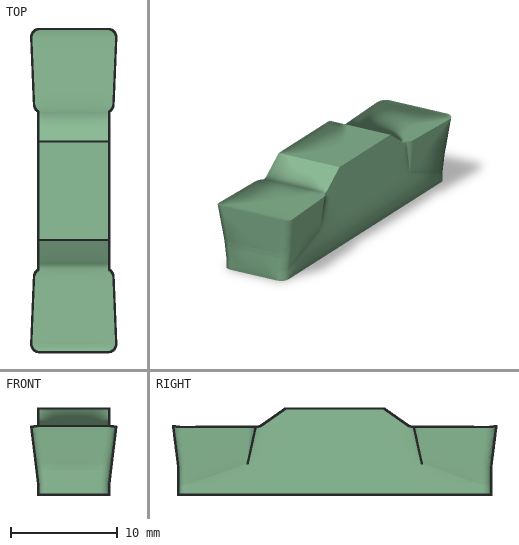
import cadquery as cq
import math


body_half_width = 3.33
total_length = 30.25
total_height = 8.08
base_half_length = 14.65
crest_half_length = 4.6
ramp_angle = 35.0
corner_radius = 0.82
body_end_height = 3.63

bend_bottom = 2.35
bend_top = 2.8

land_height = 6.38
land_inner = 7.23
flat_outer = 8.65
lip_inner = 14.37
crown_drop = 0.03
crown_bulge = 0.01
lip_height = 6.45
lip_sag = 0.018

flare_start = 0.9
flare_angle = 6.7
taper_angle = 2.4

shoulder_y = 8.15
shoulder_radius = 0.9
point_radius = 0.015

half_length = total_length / 2
flare = math.tan(math.radians(flare_angle))
taper = math.tan(math.radians(taper_angle))


def mid_point(start, end, rise):
    """Point halfway between two profile points, lifted by rise."""
    return ((start[0] + end[0]) / 2, (start[1] + end[1]) / 2 + rise)


def flank_half_width(y, z):
    flank_start_y = base_half_length - corner_radius
    return body_half_width + flare * (z - flare_start) + taper * (y - flank_start_y)


def round_end_corners(solid):
    """Round the upright corners at the outer end."""
    zone = cq.selectors.BoxSelector(
        (-total_height, base_half_length - 0.03, 0.03),
        (total_height, half_length + 0.03, land_height - 0.03),
    )
    return solid.edges(zone).edges("not |X").fillet(corner_radius)


def make_body_half():
    """Half of the body, with a stepped-down end inside the head."""
    angle = math.radians(ramp_angle)
    ramp_foot = crest_half_length + (total_height - land_height) / math.tan(angle)
    tangent = land_inner - ramp_foot
    blend_end = (ramp_foot - tangent * math.cos(angle), land_height + tangent * math.sin(angle))
    body = (
        cq.Workplane("YZ")
        .lineTo(base_half_length, 0)
        .lineTo(base_half_length, body_end_height)
        .lineTo(flat_outer, body_end_height)
        .lineTo(flat_outer, land_height)
        .lineTo(land_inner, land_height)
        .tangentArcPoint(blend_end, relative=False)
        .lineTo(crest_half_length, total_height)
        .lineTo(0, total_height)
        .close()
        .extrude(body_half_width, both=True)
    )
    return round_end_corners(body)


def make_head_profile():
    """Side profile of the head, extruded wider than the flanks."""
    bend_middle = (bend_bottom + bend_top) / 2
    lean = (half_length - base_half_length) / (lip_height - bend_middle)
    bend_end = (base_half_length + lean * (bend_top - bend_middle), bend_top)
    tip = (half_length, lip_height)
    lip_start = (lip_inner, land_height - crown_drop)
    crown_start = (flat_outer, land_height)
    return (
        cq.Workplane("YZ")
        .moveTo(land_inner, 0)
        .lineTo(base_half_length, 0)
        .lineTo(base_half_length, bend_bottom)
        .tangentArcPoint(bend_end, relative=False)
        .lineTo(*tip)
        .threePointArc(mid_point(lip_start, tip, -lip_sag), lip_start)
        .threePointArc(mid_point(crown_start, lip_start, crown_bulge), crown_start)
        .lineTo(land_inner, land_height)
        .close()
        .extrude(total_height, both=True)
    )


def make_flanks():
    """Wedge between the two flared and tapered flanks."""
    def outline(plane, z):
        back = flank_half_width(shoulder_y, z)
        front = flank_half_width(half_length, z)
        return plane.polyline([
            (-back, shoulder_y), (back, shoulder_y), (front, half_length), (-front, half_length),
        ]).close()

    lower = outline(cq.Workplane("XY"), 0)
    return outline(lower.workplane(offset=total_height), total_height).loft(ruled=True)


def make_shoulder():
    """Back of the head, with corners whose radius grows in step with the flank overhang."""
    point_height = flare_start + (base_half_length - corner_radius - shoulder_y) * taper / flare
    radius_growth = shoulder_radius / (land_height - point_height)
    low = point_height + point_radius / radius_growth

    def outline(plane, z):
        radius = radius_growth * (z - point_height)
        side = flank_half_width(shoulder_y, z)
        centre = side - radius
        diagonal = radius * math.sqrt(0.5)
        back = shoulder_y - radius
        return (
            plane.moveTo(side, shoulder_y)
            .threePointArc((centre + diagonal, shoulder_y - diagonal), (centre, back))
            .lineTo(-centre, back)
            .threePointArc((-centre - diagonal, shoulder_y - diagonal), (-side, shoulder_y))
            .close()
        )

    lower = outline(cq.Workplane("XY").workplane(offset=low), low)
    return outline(lower.workplane(offset=total_height - low), total_height).loft(ruled=True)


def make_head():
    profile = make_head_profile()
    flanks = round_end_corners(make_flanks().intersect(profile))
    return flanks.union(make_shoulder().intersect(profile))


half = make_body_half().union(make_head())
result = half.union(half.mirror("XZ")).clean()